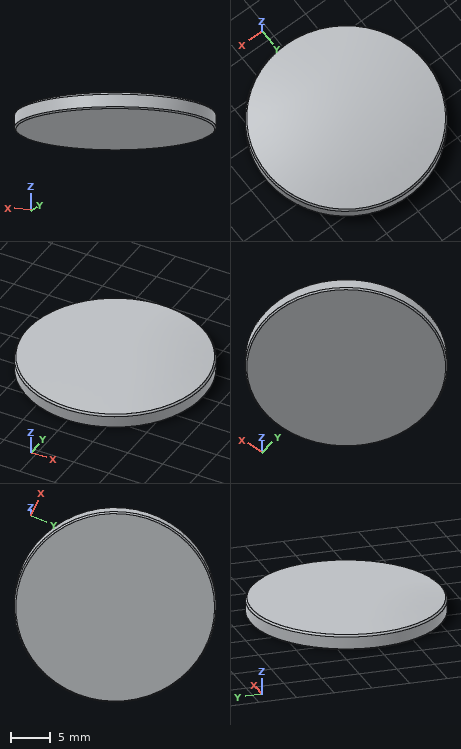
import cadquery as cq
import math

diameter = 25.4
center_thickness = 3.9
edge_thickness = 2.0
bevel = 0.2

radius = diameter / 2
rim_radius = radius - bevel
dome_rise = center_thickness - edge_thickness
sphere_radius = (radius**2 + dome_rise**2) / (2 * dome_rise)
sphere_center_height = center_thickness - sphere_radius


def dome_height(distance):
    """Height of the spherical face at a distance from the optical axis."""
    return sphere_center_height + math.sqrt(sphere_radius**2 - distance**2)


dome_mid_radius = rim_radius / 2
half_section = (
    cq.Workplane("YZ")
    .lineTo(-rim_radius, 0)
    .lineTo(-radius, bevel)
    .lineTo(-radius, edge_thickness - bevel)
    .lineTo(-rim_radius, dome_height(rim_radius))
    .threePointArc(
        (-dome_mid_radius, dome_height(dome_mid_radius)),
        (0, center_thickness),
    )
    .close()
)

result = half_section.revolve(360, (0, 0, 0), (0, 1, 0))